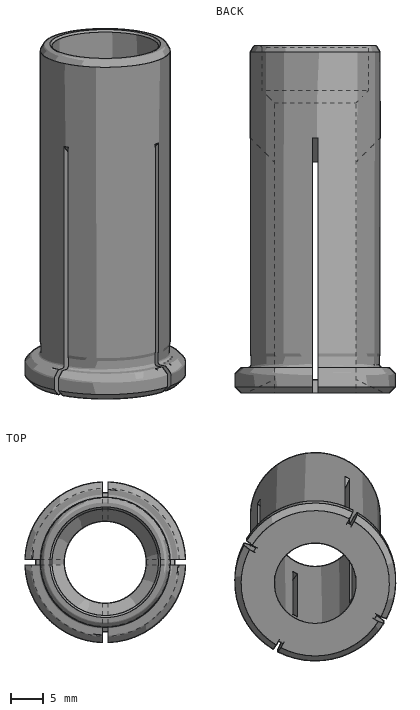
import cadquery as cq
import math

height = 54.0
edge_round = 0.5
tolerance = 0.005

flange_radius = 25.0 / 2
flange_height = 4.0
flange_chamfer = 1.0

body_radius = 20.2 / 2
neck_radius = 20.0 / 2
neck_top = flange_height + 1.7
neck_taper_height = 0.5
lead_in_height = 1.0
lead_in_width = lead_in_height * math.tan(math.radians(30))

bore_radius = 12.7 / 2
counterbore_radius = 16.5 / 2
counterbore_depth = 7.0
bore_cone_height = counterbore_radius - bore_radius
mouth_chamfer = 0.3

slot_count = 4
slot_width = 0.8
slot_top_outer = 39.65
slot_foot_radius = 10.8
slot_foot_inner = 2.1
slot_overrun = 0.55


def round_edge(body, radius, level):
    """Fillet the circular edge of the given radius at the given height."""
    low_corner = (-radius - tolerance, -radius - tolerance, level - tolerance)
    high_corner = (radius + tolerance, radius + tolerance, level + tolerance)
    within_level = cq.selectors.BoxSelector(low_corner, high_corner, boundingbox=True)
    outermost = cq.selectors.RadiusNthSelector(-1)
    return body.edges(within_level).edges(outermost).fillet(edge_round)


def make_body():
    """Revolve the outer profile, then round its edges."""
    outline = [
        (0, 0),
        (flange_radius - flange_chamfer, 0),
        (flange_radius, flange_chamfer),
        (flange_radius, flange_height - flange_chamfer),
        (flange_radius - flange_chamfer, flange_height),
        (neck_radius, flange_height),
        (neck_radius, neck_top),
        (body_radius, neck_top + neck_taper_height),
        (body_radius, height - lead_in_height),
        (body_radius - lead_in_width, height),
        (0, height),
    ]
    body = cq.Workplane("XZ").polyline(outline).close().revolve(360, (0, 0), (0, 1))
    rounded_corners = [
        (flange_radius, flange_height - flange_chamfer),
        (flange_radius - flange_chamfer, flange_height),
        (neck_radius, flange_height),
        (body_radius - lead_in_width, height),
    ]
    for radius, level in rounded_corners:
        body = round_edge(body, radius, level)
    return body


def make_bore():
    """Through bore opening by a cone into the counterbore at the top."""
    cone_top = height - counterbore_depth
    outline = [
        (0, 0),
        (bore_radius, 0),
        (bore_radius, cone_top - bore_cone_height),
        (counterbore_radius, cone_top),
        (counterbore_radius, height - mouth_chamfer),
        (counterbore_radius + mouth_chamfer, height),
        (0, height),
    ]
    return cq.Workplane("XZ").polyline(outline).close().revolve(360, (0, 0), (0, 1))


def make_slot():
    """Radial slot whose ends slope between the bore and the outside."""
    inner_radius = bore_radius - slot_overrun
    outer_radius = flange_radius + slot_overrun
    outline = [
        (inner_radius, slot_foot_inner),
        (bore_radius, slot_foot_inner),
        (slot_foot_radius, 0),
        (outer_radius, 0),
        (outer_radius, slot_top_outer + outer_radius - body_radius),
        (inner_radius, slot_top_outer + inner_radius - body_radius),
    ]
    return cq.Workplane("XZ").polyline(outline).close().extrude(slot_width / 2, both=True)


result = make_body().cut(make_bore())
slot = make_slot()
for index in range(slot_count):
    angle = index * 360 / slot_count
    result = result.cut(slot.rotate((0, 0, 0), (0, 0, 1), angle))